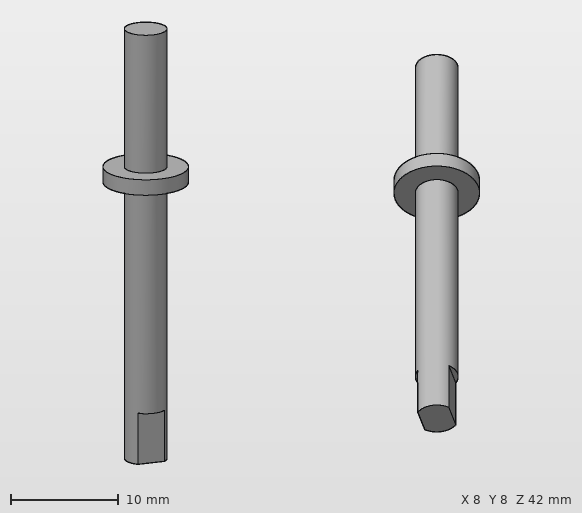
import cadquery as cq

total_length = 42.0
rod_diameter = 4.0
collar_diameter = 8.0
collar_thickness = 1.5
collar_bottom = 27.0
flat_length = 5.0
width_across_flats = 3.0

rod = cq.Workplane("XY").circle(rod_diameter / 2).extrude(total_length)

collar = (
    cq.Workplane("XY")
    .workplane(offset=collar_bottom)
    .circle(collar_diameter / 2)
    .extrude(collar_thickness)
)


def flat_cutter(side):
    """Block that trims the lower end of the rod to a flat on the +X (1) or -X (-1) side."""
    block_depth = rod_diameter / 2
    center_x = side * (width_across_flats + block_depth) / 2
    return (
        cq.Workplane("XY")
        .center(center_x, 0)
        .rect(block_depth, rod_diameter)
        .extrude(flat_length)
    )


result = rod.union(collar)
for side in (-1, 1):
    result = result.cut(flat_cutter(side))